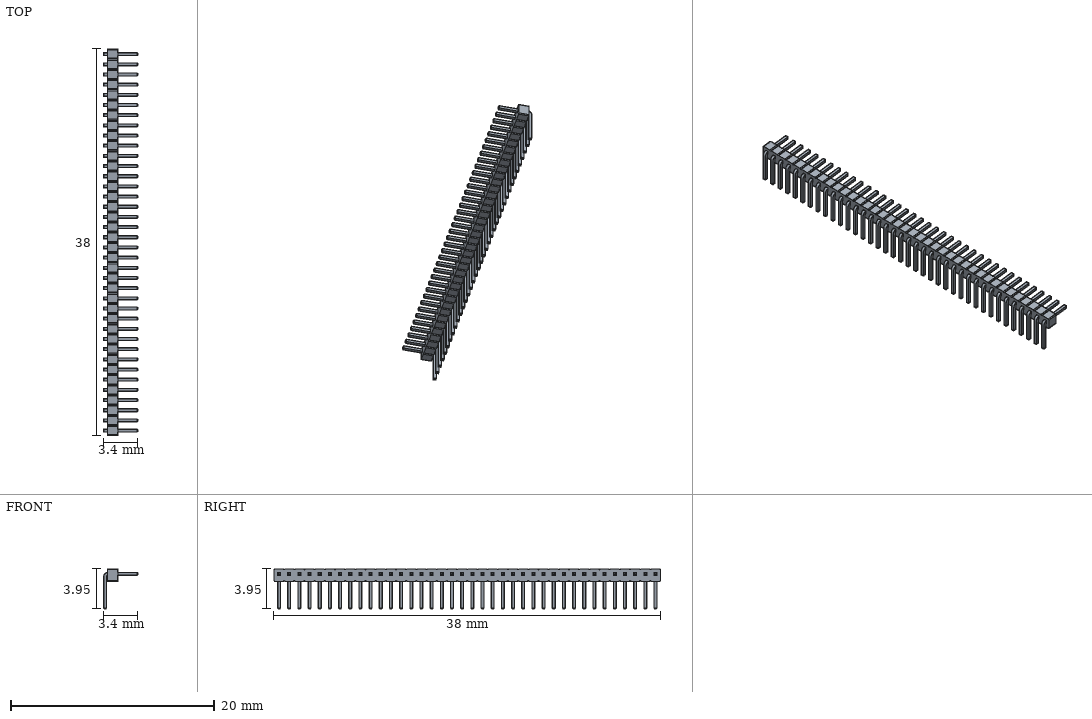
import cadquery as cq

total_length = 38.0
overall_width = 3.4
overall_height = 3.95

pin_count = 38
pitch = total_length / pin_count

body_width = 1.03
body_height = 1.25
body_offset = 0.38
groove_depth = 0.08
groove_half_width = 0.103

pin_size = 0.3
pin_drop = 0.35
bend_outer_radius = 0.45
bend_inner_radius = bend_outer_radius - pin_size
tip_chamfer = 0.08

bend_x = bend_outer_radius
bend_z = -pin_drop - bend_outer_radius
first_pin_y = (pitch - total_length) / 2


def make_body():
    """Strip of joined housings with V-grooves between neighbours, on top and underneath."""
    side_y = pitch / 2
    flat_y = side_y - groove_half_width
    cell = (
        cq.Workplane("YZ", origin=(body_offset, 0, 0))
        .moveTo(-flat_y, 0)
        .lineTo(flat_y, 0)
        .lineTo(side_y, -groove_depth)
        .lineTo(side_y, groove_depth - body_height)
        .lineTo(flat_y, -body_height)
        .lineTo(-flat_y, -body_height)
        .lineTo(-side_y, groove_depth - body_height)
        .lineTo(-side_y, -groove_depth)
        .close()
        .extrude(body_width)
        .val()
    )
    cells = [cell.translate(cq.Vector(0, first_pin_y + index * pitch, 0)) for index in range(pin_count)]
    return cells[0].fuse(*cells[1:])


def make_pin():
    """L-shaped pin at y = 0: one leg down, one leg along +X through the housing."""
    pin = (
        cq.Workplane("XZ")
        .moveTo(0, -overall_height)
        .lineTo(0, bend_z)
        .radiusArc((bend_x, -pin_drop), bend_outer_radius)
        .lineTo(overall_width, -pin_drop)
        .lineTo(overall_width, -pin_drop - pin_size)
        .lineTo(bend_x, -pin_drop - pin_size)
        .radiusArc((pin_size, bend_z), -bend_inner_radius)
        .lineTo(pin_size, -overall_height)
        .close()
        .extrude(pin_size / 2, both=True)
    )
    return pin.faces("<Z or >X").chamfer(tip_chamfer).val()


pin = make_pin()
pins = [pin.translate(cq.Vector(0, first_pin_y + index * pitch, 0)) for index in range(pin_count)]
result = cq.Workplane(make_body().fuse(*pins).clean())